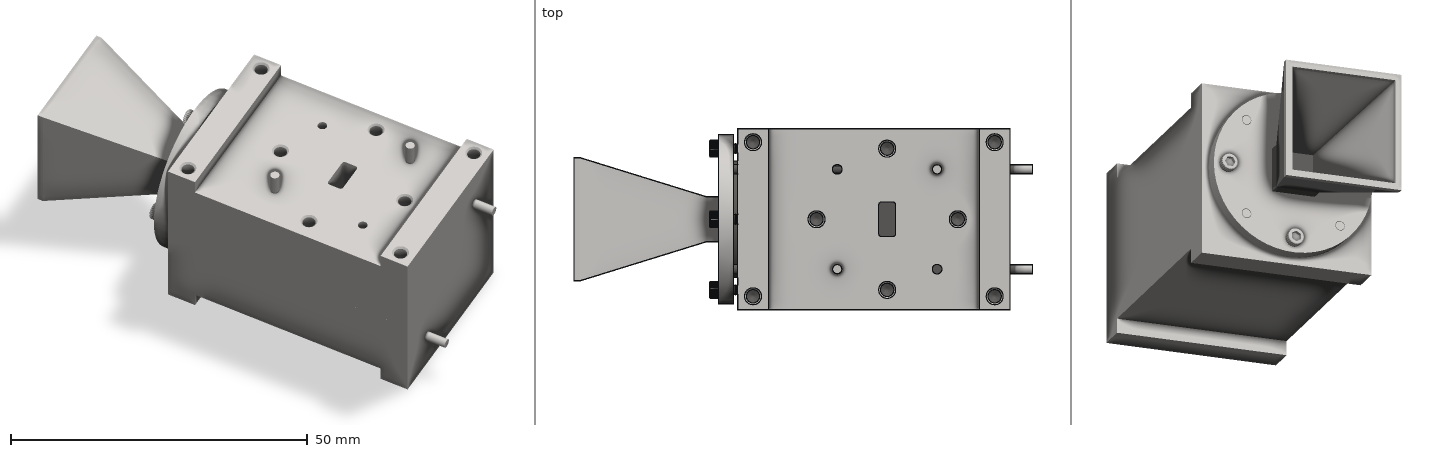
import cadquery as cq
import math

OVERALL_LENGTH = 77.25

BLOCK_SIDE = 30.5
BLOCK_LENGTH = 45.9
FOOT_LENGTH = 5.2
RECESS_DEPTH = 2.55
RECESS_Z = BLOCK_SIDE / 2 - RECESS_DEPTH

BOLT_RADIUS = 11.9
PIN_OFFSET = BOLT_RADIUS * math.sqrt(0.5)
PIN_DIAMETER = 1.55
PIN_HEIGHT = 3.8
PIN_HOLE_DIAMETER = 1.6

PORT_X = 25.2
SLOT_LENGTH = 5.8
SLOT_WIDTH = 2.85
SLOT_CORNER_RADIUS = 0.5

TAP_DIAMETER = 2.25
TAP_MOUTH_DIAMETER = 2.85
TAP_DEPTH = 4.6
DRILL_POINT_DEPTH = 0.6
CORNER_HOLE_Y = 13.0

FLANGE_DIAMETER = 28.6
FLANGE_THICKNESS = 2.55
BOSS_DIAMETER = 19.7
BOSS_HEIGHT = 0.7
FLANGE_FRONT_X = -(FLANGE_THICKNESS + BOSS_HEIGHT)
FLANGE_PIN_HOLE_DIAMETER = 1.7
NECK_SIDE = 7.65
NECK_LENGTH = 2.1
NECK_FRONT_X = FLANGE_FRONT_X - NECK_LENGTH
MOUTH_X = BLOCK_LENGTH + PIN_HEIGHT - OVERALL_LENGTH
MOUTH_SIDE = 20.8
MOUTH_OPENING = 18.55
LIP_LENGTH = 1.0
TAPER_FRONT_X = MOUTH_X + LIP_LENGTH
TAPER_LENGTH = NECK_FRONT_X - TAPER_FRONT_X
THROAT_SIDE = 5.6

SCREW_HEAD_DIAMETER = 2.85
SCREW_HEAD_HEIGHT = 1.5
SCREW_HEAD_ROUNDING = 0.2
KNURL_COUNT = 24
KNURL_GROOVE_DIAMETER = 0.185
SCREW_SHANK_DIAMETER = 1.7
THREAD_PITCH = 0.355
THREAD_DEPTH = 0.115
THREAD_COUNT = 20
SCREW_LENGTH = THREAD_PITCH * THREAD_COUNT
SCREW_TIP_X = FLANGE_FRONT_X + SCREW_LENGTH
SOCKET_ACROSS_FLATS = 1.6
SOCKET_DEPTH = 0.8
SCREW_ANGLES = (0, 90, 180, 270)

SCREW_PLACES = [(BOLT_RADIUS, 0), (0, BOLT_RADIUS), (-BOLT_RADIUS, 0), (0, -BOLT_RADIUS)]
DOWEL_PLACES = [(PIN_OFFSET, PIN_OFFSET), (-PIN_OFFSET, -PIN_OFFSET)]
FRONT_PIN_PLACES = [(-PIN_OFFSET, PIN_OFFSET), (PIN_OFFSET, -PIN_OFFSET)]


def rods_along_x(places, diameter, x_start, x_end):
    """Parallel cylinders along X at the given (y, z) places."""
    plane = cq.Workplane("YZ", origin=(x_start, 0, 0))
    return plane.pushPoints(places).circle(diameter / 2).extrude(x_end - x_start)


def square_bar(side, x_start, x_end):
    """Square bar along X, centred on the horn axis."""
    return cq.Workplane("YZ", origin=(x_start, 0, 0)).rect(side, side).extrude(x_end - x_start)


def square_taper(front_side, back_side):
    """Pyramid frustum over the flared length of the horn."""
    return (
        cq.Workplane("YZ", origin=(TAPER_FRONT_X, 0, 0))
        .rect(front_side, front_side)
        .workplane(offset=TAPER_LENGTH)
        .rect(back_side, back_side)
        .loft(ruled=True)
    )


def tapped_hole(x, y, z):
    """Cutter for a vertical tapped hole that opens upwards at (x, y, z)."""
    radius = TAP_DIAMETER / 2
    mouth_radius = TAP_MOUTH_DIAMETER / 2
    mouth_depth = mouth_radius - radius
    profile = [
        (0, 0),
        (mouth_radius, 0),
        (radius, -mouth_depth),
        (radius, -TAP_DEPTH),
        (0, -TAP_DEPTH - DRILL_POINT_DEPTH),
    ]
    cutter = cq.Workplane("XZ").polyline(profile).close().revolve(360, (0, 0, 0), (0, 1, 0))
    return cutter.translate((x, y, z))


def plain_half():
    """Upper half of the block with a raised foot at each end, bored for the screws and dowels."""
    half = cq.Workplane("XY").box(BLOCK_LENGTH, BLOCK_SIDE, BLOCK_SIDE / 2, centered=(False, True, False))
    recess = cq.Workplane("XY", origin=(FOOT_LENGTH, 0, RECESS_Z)).box(
        BLOCK_LENGTH - 2 * FOOT_LENGTH, BLOCK_SIDE, RECESS_DEPTH, centered=(False, True, False)
    )
    screw_holes = rods_along_x(SCREW_PLACES, SCREW_SHANK_DIAMETER, 0, SCREW_TIP_X)
    dowel_holes = rods_along_x(DOWEL_PLACES, PIN_DIAMETER, 0, BLOCK_LENGTH)
    front_pin = rods_along_x(FRONT_PIN_PLACES[:1], PIN_DIAMETER, FLANGE_FRONT_X, 0)
    return half.cut(recess).cut(screw_holes).cut(dowel_holes).union(front_pin)


def make_lower_half():
    """The plain half turned over about the X axis."""
    return plain_half().rotate((0, 0, 0), (1, 0, 0), 180)


def make_upper_half():
    """The plain half with the top port and the corner holes."""
    half = plain_half()

    for x in (FOOT_LENGTH / 2, BLOCK_LENGTH - FOOT_LENGTH / 2):
        for y in (-CORNER_HOLE_Y, CORNER_HOLE_Y):
            half = half.cut(tapped_hole(x, y, BLOCK_SIDE / 2))
    for along_x, along_y in SCREW_PLACES:
        half = half.cut(tapped_hole(PORT_X + along_x, along_y, RECESS_Z))

    slot = (
        cq.Workplane("XY", origin=(PORT_X, 0, 0))
        .rect(SLOT_WIDTH, SLOT_LENGTH)
        .extrude(RECESS_Z)
        .edges("|Z")
        .fillet(SLOT_CORNER_RADIUS)
    )
    half = half.cut(slot)

    port = cq.Workplane("XY", origin=(PORT_X, 0, RECESS_Z))
    pin_holes = port.pushPoints(FRONT_PIN_PLACES).circle(PIN_HOLE_DIAMETER / 2).extrude(-PIN_HEIGHT)
    port_pins = port.pushPoints(DOWEL_PLACES).circle(PIN_DIAMETER / 2).extrude(PIN_HEIGHT)
    return half.cut(pin_holes).union(port_pins)


def make_horn():
    """Square horn with a closed throat, a round flange and a boss that seats on the block."""
    lip = square_bar(MOUTH_SIDE, MOUTH_X, TAPER_FRONT_X)
    flare = square_taper(MOUTH_SIDE, NECK_SIDE)
    neck = square_bar(NECK_SIDE, NECK_FRONT_X, FLANGE_FRONT_X)
    flange = rods_along_x([(0, 0)], FLANGE_DIAMETER, FLANGE_FRONT_X, -BOSS_HEIGHT)
    boss = rods_along_x([(0, 0)], BOSS_DIAMETER, -BOSS_HEIGHT, 0)
    horn = lip.union(flare).union(neck).union(flange).union(boss)

    horn = horn.cut(square_bar(MOUTH_OPENING, MOUTH_X, TAPER_FRONT_X))
    horn = horn.cut(square_taper(MOUTH_OPENING, THROAT_SIDE))
    horn = horn.cut(rods_along_x(SCREW_PLACES, SCREW_SHANK_DIAMETER, FLANGE_FRONT_X, 0))
    pin_places = DOWEL_PLACES + FRONT_PIN_PLACES
    return horn.cut(rods_along_x(pin_places, FLANGE_PIN_HOLE_DIAMETER, FLANGE_FRONT_X, 0))


def threaded_shank():
    """Screw shank with its thread simplified to a row of V-shaped rings."""
    crest = SCREW_SHANK_DIAMETER / 2
    root = crest - THREAD_DEPTH
    profile = [(0, 0), (0, crest)]
    for ring in range(THREAD_COUNT):
        profile.append(((ring + 0.5) * THREAD_PITCH, root))
        profile.append(((ring + 1) * THREAD_PITCH, crest))
    profile.append((SCREW_LENGTH, 0))
    shank = cq.Workplane("XY").polyline(profile).close().revolve(360, (0, 0, 0), (1, 0, 0))
    return shank.translate((FLANGE_FRONT_X, 0, BOLT_RADIUS))


def make_screw(angle):
    """Socket-head screw through the flange into the block, at an angle around the horn axis."""
    head_front_x = FLANGE_FRONT_X - SCREW_HEAD_HEIGHT
    place = [(0, BOLT_RADIUS)]
    head = rods_along_x(place, SCREW_HEAD_DIAMETER, head_front_x, FLANGE_FRONT_X)
    head = head.faces("<X").edges().fillet(SCREW_HEAD_ROUNDING)

    knurl = (
        cq.Workplane("YZ", origin=(head_front_x, 0, BOLT_RADIUS))
        .polarArray(SCREW_HEAD_DIAMETER / 2, 0, 360, KNURL_COUNT)
        .circle(KNURL_GROOVE_DIAMETER / 2)
        .extrude(SCREW_HEAD_HEIGHT)
    )
    head = head.cut(knurl)

    shank = threaded_shank()
    across_corners = SOCKET_ACROSS_FLATS / math.cos(math.radians(30))
    socket = (
        cq.Workplane("YZ", origin=(head_front_x, 0, BOLT_RADIUS))
        .transformed(rotate=(0, 0, 90))
        .polygon(6, across_corners)
        .extrude(SOCKET_DEPTH)
    )
    return head.union(shank).cut(socket).rotate((0, 0, 0), (1, 0, 0), angle)


def make_dowel(place):
    """Long dowel from the flange face through the block, standing out behind it."""
    return rods_along_x([place], PIN_DIAMETER, FLANGE_FRONT_X, BLOCK_LENGTH + PIN_HEIGHT)


lower_half = make_lower_half()
upper_half = make_upper_half()
horn = make_horn()
screws = [make_screw(angle) for angle in SCREW_ANGLES]
dowels = [make_dowel(place) for place in DOWEL_PLACES]

result = cq.Compound.makeCompound(
    [
        lower_half.val(),
        upper_half.val(),
        horn.val(),
        *[screw.val() for screw in screws],
        *[dowel.val() for dowel in dowels],
    ]
)